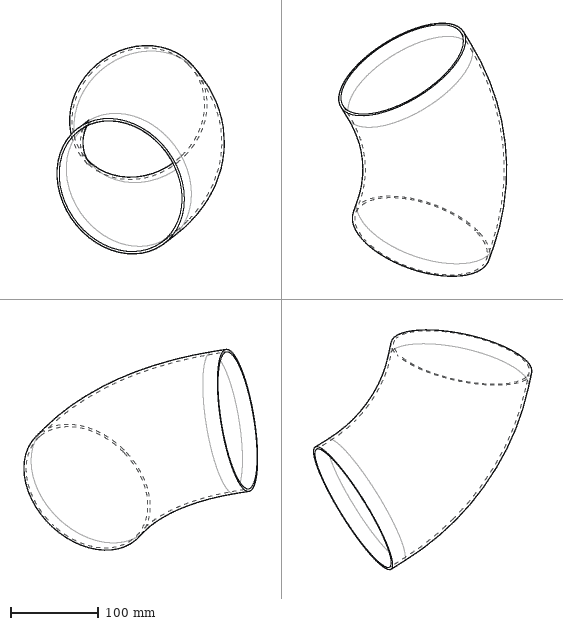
import cadquery as cq
import math

outer_diameter = 165.3
inner_diameter = 159.3
overall_length = 263.3
bend_angle = 45.0
collar_length = 17.5

bend_sin = math.sin(math.radians(bend_angle))
bend_cos = math.cos(math.radians(bend_angle))
collar_rise = collar_length * (1 + bend_cos)
bend_radius = (overall_length - collar_rise) / bend_sin - outer_diameter / 2

bend_start = (0, collar_length)


def point_on_bend(angle):
    """Centreline point after turning by the given angle in degrees."""
    turn = math.radians(angle)
    return (
        bend_radius * (math.cos(turn) - 1),
        collar_length + bend_radius * math.sin(turn),
    )


bend_middle = point_on_bend(bend_angle / 2)
bend_end = point_on_bend(bend_angle)
outlet_center = (
    bend_end[0] - collar_length * bend_sin,
    bend_end[1] + collar_length * bend_cos,
)
centerline = (
    cq.Workplane("XY")
    .lineTo(*bend_start)
    .threePointArc(bend_middle, bend_end)
    .lineTo(*outlet_center)
)

result = (
    cq.Workplane("XZ")
    .circle(outer_diameter / 2)
    .circle(inner_diameter / 2)
    .sweep(centerline)
)